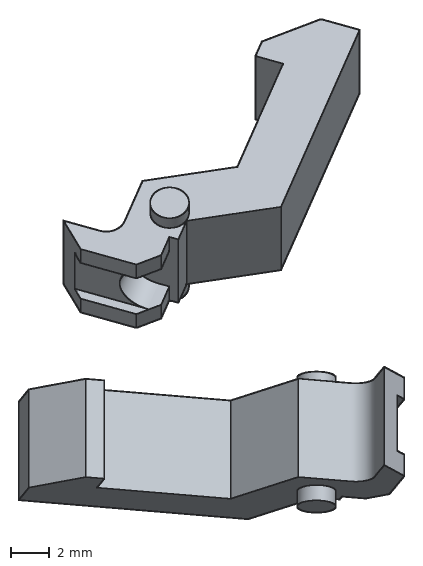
import cadquery as cq
import math

total_x = 10.3
total_y = 18.25
body_height = 5.35
pin_length = 7.0

toe_height = 1.46
heel_chamfer = 1.0
heel_x = 5.51
instep_radius = 1.0

column_left = 3.0
column_right = 6.0
step_y = 2.26

link_slope = math.tan(math.radians(30))
arm_left = total_x - 3.0
arm_inner_y = 7.74
arm_outer_y = 6.02

hook_x = 5.79
hook_inner_y = 14.85
hook_chamfer = 2.39

pin_diameter = 2.0
pin_x = column_right - pin_diameter / 2
pin_y = 3.76

groove_width = 3.01
groove_depth = 0.51
pocket_end_x = 3.41


def make_body():
    column_top_y = arm_inner_y - (arm_left - column_left) * link_slope
    link_lower_y = arm_outer_y - (total_x - column_right) * link_slope
    outline = [
        (toe_height, 0),
        (heel_x - heel_chamfer, 0),
        (heel_x, heel_chamfer),
        (heel_x, step_y),
        (column_right, step_y),
        (column_right, link_lower_y),
        (total_x, arm_outer_y),
        (total_x, total_y),
        (hook_x + hook_chamfer, total_y),
        (hook_x, total_y - hook_chamfer),
        (hook_x, hook_inner_y),
        (arm_left, hook_inner_y),
        (arm_left, arm_inner_y),
        (column_left, column_top_y),
        (column_left, toe_height + instep_radius),
    ]
    return (
        cq.Workplane("XY")
        .polyline(outline)
        .radiusArc((column_left - instep_radius, toe_height), instep_radius)
        .lineTo(0, toe_height)
        .close()
        .extrude(body_height / 2, both=True)
    )


def make_pin():
    return (
        cq.Workplane("XY")
        .center(pin_x, pin_y)
        .circle(pin_diameter / 2)
        .extrude(pin_length / 2, both=True)
    )


def make_groove():
    """Channel along X through the whole sole."""
    return cq.Workplane("XY").box(
        total_x, groove_depth, groove_width, centered=(False, False, True)
    )


def make_pocket():
    """Pocket up to the step, rounded at its inner end and open at the heel."""
    radius = groove_width / 2
    round_x = pocket_end_x + radius
    return (
        cq.Workplane("XZ")
        .moveTo(heel_x, -radius)
        .lineTo(round_x, -radius)
        .threePointArc((pocket_end_x, 0), (round_x, radius))
        .lineTo(heel_x, radius)
        .close()
        .extrude(-step_y)
    )


result = make_body().union(make_pin()).cut(make_groove()).cut(make_pocket())